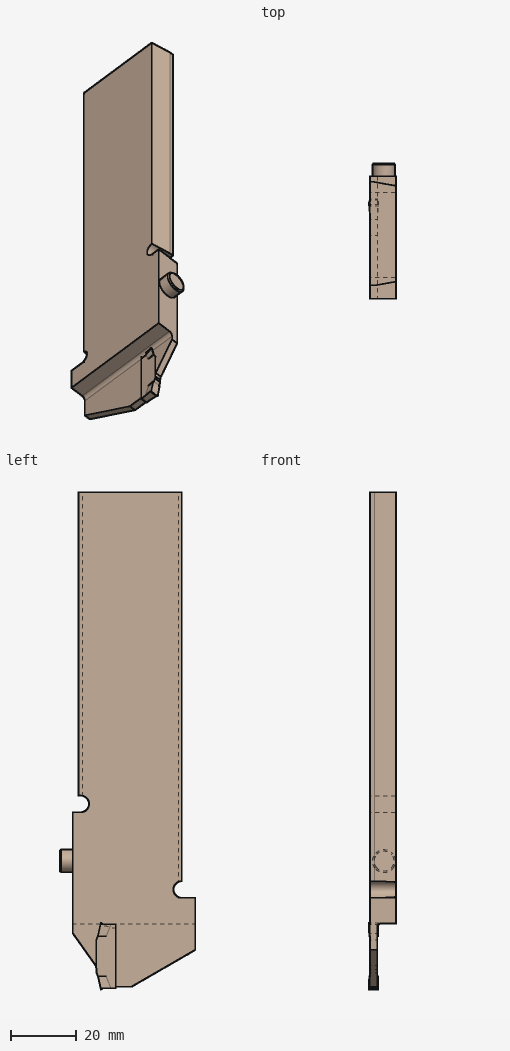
import cadquery as cq
import math

holder_thickness = 8.0
holder_top = 150.8
blade_thickness = 2.3
blade_top = 20.0
blade_fillet = 1.2
lower_end = 0.9
front_corner_height = 12.0
front_slope_end = 19.3
back_face = 37.2
back_slope_height = 17.2
back_slope_foot = 30.3
back_slope_foot_height = 7.4

shank_front = 4.0
shank_back = 35.5
shank_land = 1.4
shank_bevel_angle = 10.0
notch_radius = 2.49
front_notch_depth_y = 6.6
front_ledge = 27.9
back_notch_depth_y = 32.3
back_ledge = 53.8

screw_diameter = 7.0
screw_end = 41.2
screw_chamfer = 0.5
screw_x = 4.2
screw_z = 39.0

insert_height = 20.4
insert_heel = 24.1
insert_face = 30.0
face_end_height = 5.1
knee_y = 29.5
knee_height = 4.0
tip_y = 28.7
tip_inner_y = 28.2
heel_height = 0.5
flare_inner_y = 27.1
flare_root_y = 25.6
flare_width = 0.3


def side_plate(points, thickness, start=0.0):
    """Extrude a (Y, Z) outline along +X."""
    plane = cq.Workplane("YZ", origin=(start, 0, 0))
    return plane.polyline(points).close().extrude(thickness)


def notch(deepest_y, ledge, inward):
    """Round-bottomed notch through the thickness, open away from the bar."""
    center_y = deepest_y - inward * notch_radius
    center_z = ledge + notch_radius
    mouth_y = center_y - inward * holder_thickness
    top = ledge + 2 * notch_radius
    return (
        cq.Workplane("YZ")
        .moveTo(mouth_y, ledge)
        .lineTo(center_y, ledge)
        .threePointArc((deepest_y, center_z), (center_y, top))
        .lineTo(mouth_y, top)
        .close()
        .extrude(holder_thickness)
    )


def make_shank():
    """Bar whose narrow sides have a flat land and then lean inward."""
    bevel = (holder_thickness - shank_land) * math.tan(math.radians(shank_bevel_angle))
    outline = [
        (0, shank_front),
        (shank_land, shank_front),
        (holder_thickness, shank_front + bevel),
        (holder_thickness, shank_back - bevel),
        (shank_land, shank_back),
        (0, shank_back),
    ]
    base = front_ledge
    return (
        cq.Workplane("XY", origin=(0, 0, base))
        .polyline(outline)
        .close()
        .extrude(holder_top - base)
    )


def make_lower_holder():
    """Wide clamping end with its sloped corners and stepped ledges."""
    outline = [
        (0, front_corner_height),
        (front_slope_end, lower_end),
        (tip_y, lower_end),
        (back_slope_foot, back_slope_foot_height),
        (back_face, back_slope_height),
        (back_face, back_ledge),
        (front_notch_depth_y, back_ledge),
        (front_notch_depth_y, front_ledge),
        (0, front_ledge),
    ]
    return side_plate(outline, holder_thickness)


def blade_relief():
    """Volume removed beside the blade, with a fillet under the step."""
    arc_x = blade_thickness + blade_fillet * (1 - math.sqrt(0.5))
    arc_z = blade_top - blade_fillet * (1 - math.sqrt(0.5))
    return (
        cq.Workplane("XZ")
        .moveTo(blade_thickness, 0)
        .lineTo(blade_thickness, blade_top - blade_fillet)
        .threePointArc((arc_x, arc_z), (blade_thickness + blade_fillet, blade_top))
        .lineTo(holder_thickness, blade_top)
        .lineTo(holder_thickness, 0)
        .close()
        .extrude(-back_face)
    )


def make_screw_head():
    return (
        cq.Workplane("XZ", origin=(screw_x, back_face, screw_z))
        .circle(screw_diameter / 2)
        .extrude(back_face - screw_end)
        .faces(">Y")
        .chamfer(screw_chamfer)
    )


def make_insert_head():
    """Lower cutting head, widening from its sloping root line to its pointed corner."""
    outline = [
        (knee_y, knee_height),
        (flare_inner_y, knee_height),
        (flare_root_y, heel_height),
        (tip_inner_y, heel_height),
        (tip_y, 0),
    ]
    full_width = blade_thickness + 2 * flare_width
    head = side_plate(outline, full_width, -flare_width)
    root_rise = knee_height - heel_height
    root_run = flare_inner_y - flare_root_y
    root_length = math.hypot(root_run, root_rise)
    tip_distance = ((tip_y - flare_root_y) * root_rise + heel_height * root_run) / root_length
    root_plane = cq.Plane(
        origin=(0, flare_root_y, heel_height),
        xDir=(1, 0, 0),
        normal=(0, root_run, root_rise),
    )
    flare = (
        cq.Workplane(root_plane)
        .lineTo(blade_thickness, 0)
        .lineTo(blade_thickness + flare_width, tip_distance)
        .lineTo(-flare_width, tip_distance)
        .close()
        .extrude(insert_height, both=True)
    )
    return head.intersect(flare)


def make_insert():
    lower_half = [
        (insert_heel, heel_height),
        (tip_inner_y, heel_height),
        (tip_y, 0),
        (knee_y, knee_height),
        (insert_face, face_end_height),
    ]
    upper_half = [(y, insert_height - z) for y, z in reversed(lower_half)]
    body = side_plate(lower_half + upper_half, blade_thickness)
    lower_head = make_insert_head()
    upper_head = lower_head.mirror("XY", (0, 0, insert_height / 2))
    return body.union(lower_head).union(upper_head)


def make_holder(seated_insert):
    holder = make_shank().union(make_lower_holder())
    holder = holder.cut(notch(front_notch_depth_y, front_ledge, 1))
    holder = holder.cut(notch(back_notch_depth_y, back_ledge, -1))
    holder = holder.cut(blade_relief())
    holder = holder.union(make_screw_head())
    return holder.cut(seated_insert)


insert = make_insert()
holder = make_holder(insert)

result = cq.Compound.makeCompound([holder.solids().val(), insert.solids().val()])